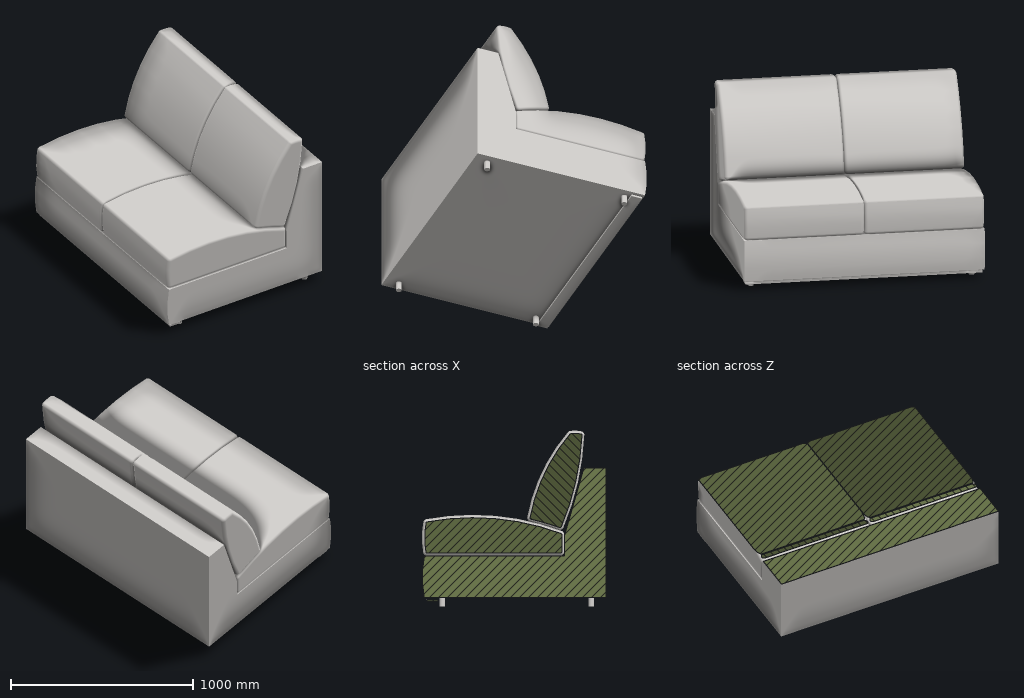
import cadquery as cq
import math


WIDTH = 1344.0
DEPTH = 1000.0
FRONT_BULGE = 11.0
FRAME_BOTTOM = 50.0
LEDGE_HEIGHT = 281.0
FRAME_TOP = 765.0
LEDGE_BACK = DEPTH - 230.0
BACKREST_FRONT = DEPTH - 124.0
SLOPE_BOTTOM = 394.0

CUSHION_COUNT = 2
CUSHION_WIDTH = 670.0
EDGE_RADIUS = 20.0

CROWN_RADIUS = 1397.0
CROWN_Y = 269.0
CROWN_Z = 504.0

BACK_CUSHION_FRONT_Y = 564.0
BACK_CUSHION_REAR_Y = 758.0
FRONT_FACE_MIDDLE = (650.0, 743.0)
TOP_FRONT_CORNER = (795.0, 963.0)
TOP_MIDDLE = (838.0, 966.0)
TOP_REAR_CORNER = (881.0, 958.0)
REAR_FACE_MIDDLE = (852.0, 712.0)

FOOT_RADIUS = 16.0
FOOT_END_INSET = 55.0
FOOT_ROWS_Y = (DEPTH - 899.0, DEPTH - 80.0)

STRIP_INSET = 10.0
STRIP_FRONT = 13.0
STRIP_DEPTH = 63.0
STRIP_THICKNESS = 11.0
STRIP_GAP = 10.0


def seat_top(y):
    """Height of the seat cushion's top arc at a given Y."""
    return CROWN_Z - CROWN_RADIUS + math.sqrt(CROWN_RADIUS**2 - (y - CROWN_Y) ** 2)


def seat_top_point(y):
    return (y, seat_top(y))


def make_frame():
    bulge_middle = (-FRONT_BULGE, (FRAME_BOTTOM + LEDGE_HEIGHT) / 2)
    return (
        cq.Workplane("YZ")
        .moveTo(0, FRAME_BOTTOM)
        .lineTo(DEPTH, FRAME_BOTTOM)
        .lineTo(DEPTH, FRAME_TOP)
        .lineTo(BACKREST_FRONT, FRAME_TOP)
        .lineTo(LEDGE_BACK, SLOPE_BOTTOM)
        .lineTo(LEDGE_BACK, LEDGE_HEIGHT)
        .lineTo(0, LEDGE_HEIGHT)
        .threePointArc(bulge_middle, (0, FRAME_BOTTOM))
        .close()
        .extrude(WIDTH)
    )


def make_seat_cushion(left):
    """Domed seat cushion on the ledge, with its left side at X = left."""
    front_middle = (-FRONT_BULGE, (LEDGE_HEIGHT + seat_top(0)) / 2)
    return (
        cq.Workplane("YZ", origin=(left, 0, 0))
        .moveTo(0, LEDGE_HEIGHT)
        .lineTo(LEDGE_BACK, LEDGE_HEIGHT)
        .lineTo(*seat_top_point(LEDGE_BACK))
        .threePointArc((CROWN_Y, CROWN_Z), seat_top_point(0))
        .threePointArc(front_middle, (0, LEDGE_HEIGHT))
        .close()
        .extrude(CUSHION_WIDTH)
        .edges()
        .fillet(EDGE_RADIUS)
    )


def make_back_cushion(left):
    """Back cushion resting on the seat cushion, with its left side at X = left."""
    bottom_front = seat_top_point(BACK_CUSHION_FRONT_Y)
    bottom_middle = seat_top_point((BACK_CUSHION_FRONT_Y + BACK_CUSHION_REAR_Y) / 2)
    bottom_rear = seat_top_point(BACK_CUSHION_REAR_Y)
    return (
        cq.Workplane("YZ", origin=(left, 0, 0))
        .moveTo(*bottom_front)
        .threePointArc(bottom_middle, bottom_rear)
        .threePointArc(REAR_FACE_MIDDLE, TOP_REAR_CORNER)
        .threePointArc(TOP_MIDDLE, TOP_FRONT_CORNER)
        .threePointArc(FRONT_FACE_MIDDLE, bottom_front)
        .close()
        .extrude(CUSHION_WIDTH)
        .edges()
        .fillet(EDGE_RADIUS)
    )


def make_foot(x, y):
    return cq.Workplane("XY").center(x, y).circle(FOOT_RADIUS).extrude(FRAME_BOTTOM)


def make_strip():
    return cq.Workplane(
        "XY", origin=(STRIP_INSET, STRIP_FRONT, FRAME_BOTTOM - STRIP_GAP - STRIP_THICKNESS)
    ).box(WIDTH - 2 * STRIP_INSET, STRIP_DEPTH, STRIP_THICKNESS, centered=False)


frame = make_frame()
strip = make_strip()

cushions = []
for index in range(CUSHION_COUNT):
    cushion_left = index * CUSHION_WIDTH
    cushions.append(make_seat_cushion(cushion_left).val())
    cushions.append(make_back_cushion(cushion_left).val())

feet = []
for foot_x in (FOOT_END_INSET, WIDTH - FOOT_END_INSET):
    for foot_y in FOOT_ROWS_Y:
        feet.append(make_foot(foot_x, foot_y).val())

result = cq.Compound.makeCompound([frame.val(), strip.val(), *cushions, *feet])